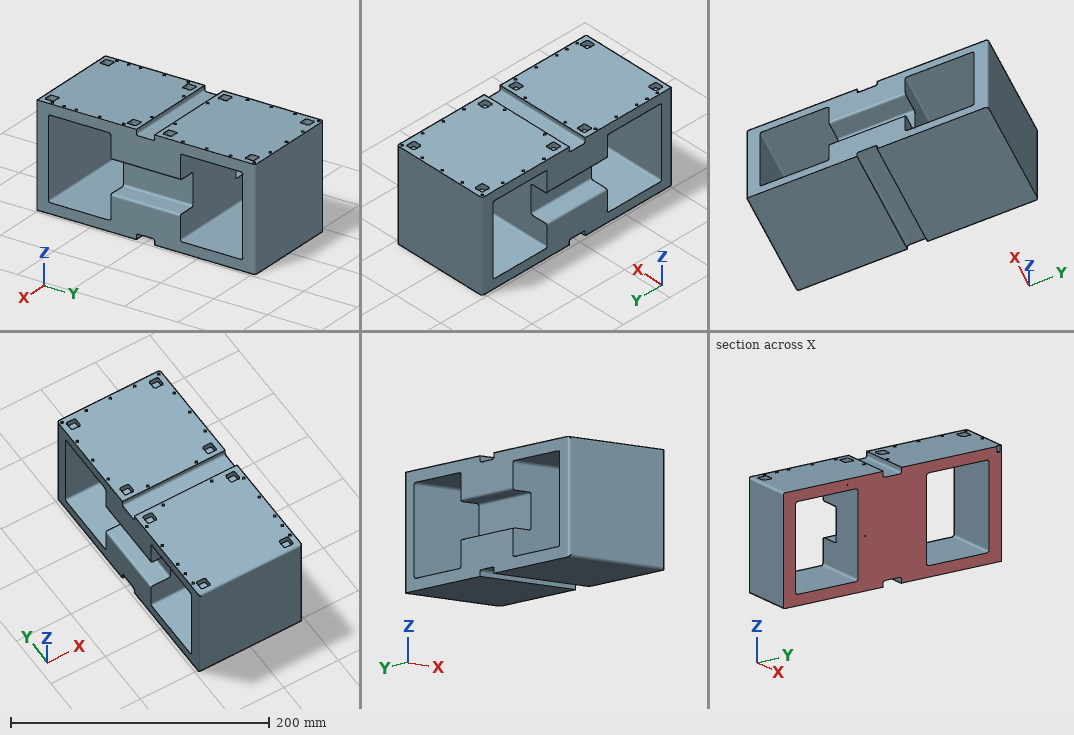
import cadquery as cq

WIDTH = 94.4
LENGTH = 205.5
HEIGHT = 94.876
END_RADIUS = 2.15

GROOVE_WIDTH = 17.15
GROOVE_DEPTH = 5.1
GROOVE_RADIUS = 2.0

WEB_LENGTH = 65.0
WINDOW_LENGTH = 58.3
WINDOW_HEIGHT = 75.4
WINDOW_RADIUS = 2.0

RECESS_HEIGHT = 29.7
RECESS_DEPTH = 17.8
RECESS_RADIUS = 2.0

POCKET_SIZE = 8.2
POCKET_RADIUS = 1.25
POCKET_DEPTH = 5.0
POCKET_X = 38.0
POCKET_Y_INNER = 16.7
POCKET_Y_OUTER = 93.6

HOLE_DIAMETER = 2.01
HOLE_DEPTH = 5.0
HALF_PITCH = 11.1125
ROW_SHIFT = -0.15
SIDE_ROW_STEPS = (7, 5, 3, -2, -4, -6, -7, -8)
SIDE_COLUMN_STEPS = 4
CROSS_COLUMN_STEPS = 2
END_ROW_STEPS = 9
GROOVE_ROW_STEPS = 1


def make_block():
    """Block with its -Y face rounded all round and its +Y face rounded at the sides."""
    block = cq.Workplane("XY").box(WIDTH, LENGTH, HEIGHT)
    block = block.faces(">Y").edges("|Z").fillet(END_RADIUS)
    return block.faces("<Y").edges().fillet(END_RADIUS)


def make_groove(side):
    """Cutter for the groove in the top (side = 1) or bottom (side = -1) face."""
    cutter = cq.Workplane("XY").box(WIDTH, GROOVE_WIDTH, 2 * GROOVE_DEPTH)
    cutter = cutter.edges("|X").fillet(GROOVE_RADIUS)
    return cutter.translate((0, 0, side * HEIGHT / 2))


def make_windows():
    """Cutter for both windows, with rounded corners."""
    centre_y = (WEB_LENGTH + WINDOW_LENGTH) / 2
    windows = cq.Workplane("YZ").pushPoints([(-centre_y, 0), (centre_y, 0)])
    windows = windows.rect(WINDOW_LENGTH, WINDOW_HEIGHT).extrude(WIDTH / 2, both=True)
    return windows.edges("|X").fillet(WINDOW_RADIUS)


def make_recess():
    """Cutter for the -X web recess: rounded inner corners and a flared, rounded mouth."""
    mouth_x = -WIDTH / 2
    floor_x = mouth_x + RECESS_DEPTH
    half = RECESS_HEIGHT / 2
    r = RECESS_RADIUS
    profile = (
        cq.Workplane("XZ")
        .moveTo(mouth_x, -half - r)
        .radiusArc((mouth_x + r, -half), r)
        .lineTo(floor_x - r, -half)
        .radiusArc((floor_x, -half + r), -r)
        .lineTo(floor_x, half - r)
        .radiusArc((floor_x - r, half), -r)
        .lineTo(mouth_x + r, half)
        .radiusArc((mouth_x, half + r), r)
        .close()
    )
    return profile.extrude(WEB_LENGTH / 2 + r, both=True)


def make_pockets():
    """Cutter for the eight square pockets in the top face."""
    centres = []
    for x in (-POCKET_X, POCKET_X):
        for y in (POCKET_Y_INNER, POCKET_Y_OUTER):
            centres += [(x, y), (x, -y)]
    pockets = cq.Workplane("XY").workplane(offset=HEIGHT / 2).pushPoints(centres)
    pockets = pockets.rect(POCKET_SIZE, POCKET_SIZE).extrude(-POCKET_DEPTH)
    return pockets.edges("|Z").fillet(POCKET_RADIUS)


def make_screw_holes():
    """Cutter for the blind screw holes in the top face."""
    steps = [(0, END_ROW_STEPS)]
    for side in (-1, 1):
        steps.append((side * SIDE_COLUMN_STEPS, END_ROW_STEPS))
        for row in SIDE_ROW_STEPS:
            steps.append((side * SIDE_COLUMN_STEPS, row))
        for row in (END_ROW_STEPS, GROOVE_ROW_STEPS, -GROOVE_ROW_STEPS):
            steps.append((side * CROSS_COLUMN_STEPS, row))
    centres = [(column * HALF_PITCH, row * HALF_PITCH + ROW_SHIFT) for column, row in steps]
    holes = cq.Workplane("XY").workplane(offset=HEIGHT / 2).pushPoints(centres)
    return holes.circle(HOLE_DIAMETER / 2).extrude(-HOLE_DEPTH)


result = make_block()
for groove_side in (1, -1):
    result = result.cut(make_groove(groove_side))
result = result.cut(make_windows())
recess = make_recess()
result = result.cut(recess).cut(recess.mirror("YZ"))
result = result.cut(make_pockets()).cut(make_screw_holes())